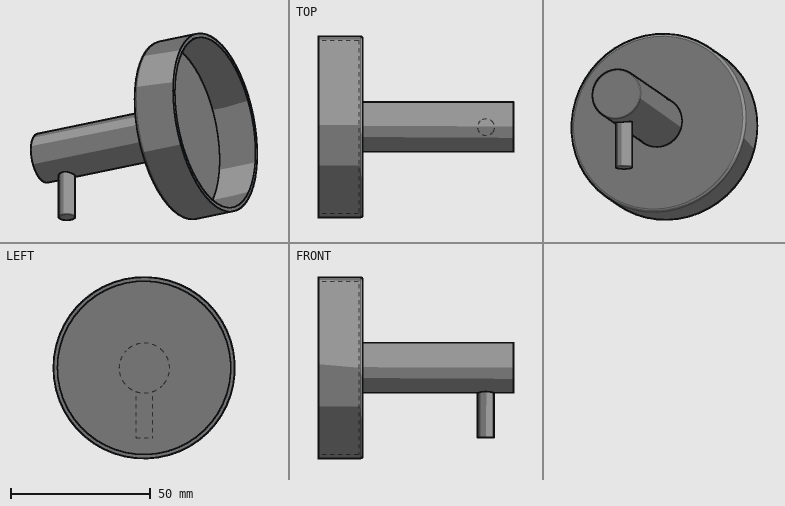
import cadquery as cq

cup_diameter = 65.0
cup_length = 15.95
cup_wall = 1.5
cup_floor = 1.5
cup_edge_fillet = 1.0

overall_length = 70.0
rod_diameter = 18.0
rod_edge_fillet = 0.3
peg_diameter = 6.0
peg_position = 60.0
peg_reach = 25.0
peg_edge_fillet = 0.3


def make_cup():
    """Round cover with a rounded outer rim on its closed end."""
    outside = (
        cq.Workplane("YZ")
        .circle(cup_diameter / 2)
        .extrude(cup_length)
        .faces(">X")
        .edges()
        .fillet(cup_edge_fillet)
    )
    cavity = (
        cq.Workplane("YZ")
        .circle(cup_diameter / 2 - cup_wall)
        .extrude(cup_length - cup_floor)
    )
    return outside.cut(cavity)


def make_hook():
    """Rod along X joined to a peg that points toward -Z."""
    rod = (
        cq.Workplane("YZ", origin=(cup_length, 0, 0))
        .circle(rod_diameter / 2)
        .extrude(overall_length - cup_length)
        .faces(">X")
        .edges()
        .fillet(rod_edge_fillet)
    )
    peg = (
        cq.Workplane("XY", origin=(peg_position, 0, 0))
        .circle(peg_diameter / 2)
        .extrude(-peg_reach)
        .faces("<Z")
        .edges()
        .fillet(peg_edge_fillet)
    )
    return rod.union(peg)


cup = make_cup()
hook = make_hook()

result = cq.Compound.makeCompound([cup.val(), hook.val()])